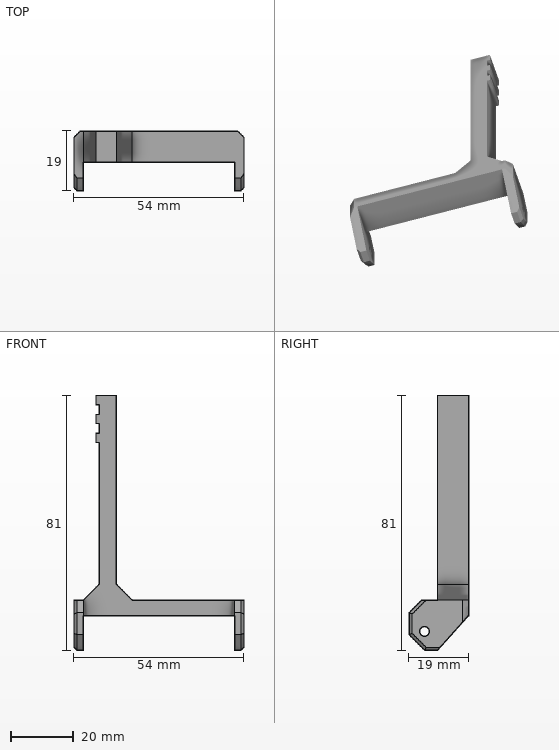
import cadquery as cq


overall_length = 54.0
bar_depth = 10.0
bar_height = 5.0

ear_thickness = 3.0
ear_height = 16.0
bar_bottom = ear_height - bar_height
ear_reach = 9.0
ear_rear_edge_bottom = 11.2
ear_top_bevel = 4.0
ear_bottom_bevel = 5.0
ear_edge_chamfer = 1.0
rear_corner_chamfer = 2.0
pin_diameter = 3.0
pin_y = -4.1
pin_z = 6.05

overall_height = 81.0
lever_thickness = 5.5
gusset_size = 5.0
lever_left = ear_thickness + gusset_size
lever_right = lever_left + lever_thickness

tooth_count = 3
tooth_height = 3.0
tooth_depth = 1.0
tooth_pitch = 2 * tooth_height


def box(x_min, x_max, z_min, z_max):
    """Block as deep as the crossbar, spanning y = 0 to bar_depth."""
    size_x = x_max - x_min
    size_z = z_max - z_min
    block = cq.Workplane("XY").box(size_x, bar_depth, size_z, centered=False)
    return block.translate((x_min, 0, z_min))


def make_lever():
    """Lever with a 45 degree gusset on each side of its foot."""
    lever = (
        cq.Workplane("XZ")
        .moveTo(ear_thickness, bar_bottom)
        .lineTo(ear_thickness, ear_height)
        .lineTo(lever_left, ear_height + gusset_size)
        .lineTo(lever_left, overall_height)
        .lineTo(lever_right, overall_height)
        .lineTo(lever_right, ear_height + gusset_size)
        .lineTo(lever_right + gusset_size, ear_height)
        .lineTo(lever_right + gusset_size, bar_bottom)
        .close()
        .extrude(-bar_depth)
    )
    for index in range(tooth_count):
        tooth_top = overall_height - index * tooth_pitch
        tooth = box(lever_left - tooth_depth, lever_left, tooth_top - tooth_height, tooth_top)
        lever = lever.union(tooth)
    return lever


def make_left_ear():
    """Ear with its outer face on x = 0, a pin hole and chamfered outer edges."""
    ear = (
        cq.Workplane("YZ")
        .moveTo(bar_depth, ear_height)
        .lineTo(bar_depth, ear_rear_edge_bottom)
        .lineTo(0, 0)
        .lineTo(ear_bottom_bevel - ear_reach, 0)
        .lineTo(-ear_reach, ear_bottom_bevel)
        .lineTo(-ear_reach, ear_height - ear_top_bevel)
        .lineTo(ear_top_bevel - ear_reach, ear_height)
        .close()
        .extrude(ear_thickness)
    )
    outer_edges = cq.selectors.BoxSelector(
        (-ear_edge_chamfer, -ear_reach - ear_edge_chamfer, -ear_edge_chamfer),
        (ear_edge_chamfer, 0, ear_height - ear_edge_chamfer),
    )
    ear = ear.edges(outer_edges).chamfer(ear_edge_chamfer)
    ear = ear.edges("|Z and >Y and <X").chamfer(rear_corner_chamfer)
    pin_hole = (
        cq.Workplane("YZ")
        .center(pin_y, pin_z)
        .circle(pin_diameter / 2)
        .extrude(ear_thickness)
    )
    return ear.cut(pin_hole)


left_ear = make_left_ear()
right_ear = left_ear.mirror("YZ").translate((overall_length, 0, 0))
crossbar = box(ear_thickness, overall_length - ear_thickness, bar_bottom, ear_height)

result = crossbar.union(make_lever()).union(left_ear).union(right_ear)